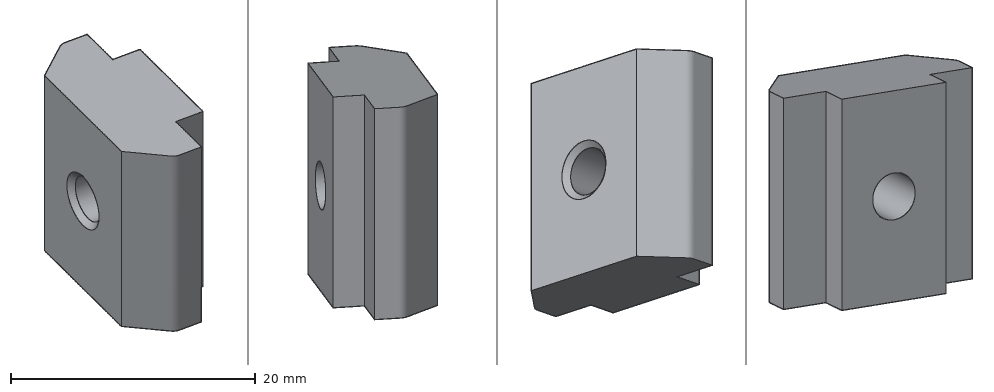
import cadquery as cq

width = 17.8
depth = 8.5
length = 18.0

tongue_width = 9.83
tongue_height = 2.61
face_width = 11.99
taper_depth = 3.4
flank_radius = 1.0

hole_diameter = 4.0
countersink_diameter = 5.0
countersink_angle = 90

front_y = -depth / 2
back_y = depth / 2
shoulder_y = back_y - tongue_height
taper_y = front_y + taper_depth


def make_body():
    """Extrude the section and round the edges where the flanks meet the sides."""
    right_half = [
        (face_width / 2, front_y),
        (width / 2, taper_y),
        (width / 2, shoulder_y),
        (tongue_width / 2, shoulder_y),
        (tongue_width / 2, back_y),
    ]
    left_half = [(-x, y) for x, y in reversed(right_half)]
    body = cq.Workplane("XY").polyline(right_half + left_half).close().extrude(length / 2, both=True)
    for side in (-1, 1):
        flank_edge = cq.selectors.NearestToPointSelector((side * width / 2, taper_y, 0))
        body = body.edges("|Z").edges(flank_edge).fillet(flank_radius)
    return body


def cut_hole(body):
    """Drill the central hole from the -Y face and countersink its mouth."""
    mouth = body.faces("<Y").workplane(origin=(0, front_y, 0))
    return mouth.cskHole(hole_diameter, countersink_diameter, countersink_angle)


result = cut_hole(make_body())